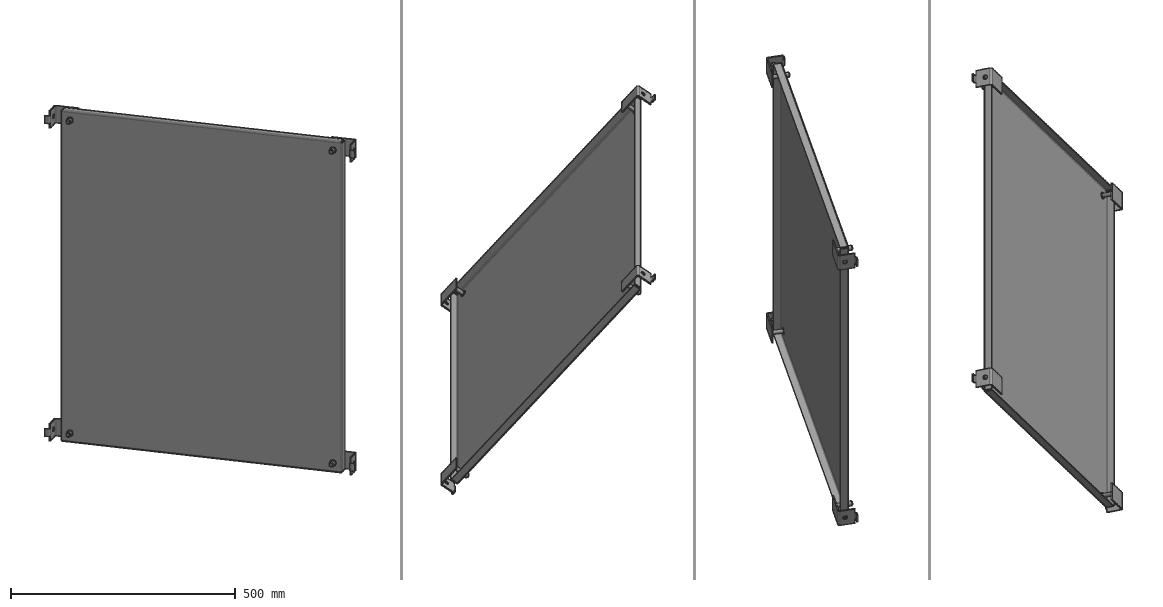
import cadquery as cq

OVERALL_WIDTH = 726.0
OVERALL_DEPTH = 43.0
PLATE_HEIGHT = 784.0

PLATE_WIDTH = 660.0
PLATE_DEPTH = 19.5
PLATE_FRONT_Y = -9.0
PLATE_SHEET = 1.95
PLATE_BEND_RADIUS = 3.0
CLEARANCE_DIAMETER = 15.0

FIXING_X = 308.0
FIXING_Z = 370.0

SHANK_DIAMETER = 9.5
HEAD_DIAMETER = 12.0
HEAD_CHAMFER = 2.0

BRACKET_SHEET = 3.0
BRACKET_BEND_RADIUS = 5.0
BRACKET_HEIGHT = 41.0
TAB_HEIGHT = 18.0
WEB_OUTER_X = 354.0
FLANGE_INNER_X = 296.5
WEB_HOLE_DIAMETER = 10.0
WEB_HOLE_Y = 5.5

BACK_Y = OVERALL_DEPTH / 2
FRONT_Y = -BACK_Y
FLANGE_FRONT_Y = BACK_Y - BRACKET_SHEET
TAB_TIP_X = OVERALL_WIDTH / 2
PLATE_BACK_Y = PLATE_FRONT_Y + PLATE_DEPTH
CORNERS = [(side, level) for side in (-1, 1) for level in (-1, 1)]


def folded_strip(span, length):
    """A flat face with a flange folded back along both long edges, extruded along Z."""
    outer_x = span / 2
    inner_x = outer_x - PLATE_SHEET
    bend_x = outer_x - PLATE_BEND_RADIUS
    bend_y = PLATE_FRONT_Y + PLATE_BEND_RADIUS
    inner_y = PLATE_FRONT_Y + PLATE_SHEET
    return (
        cq.Workplane("XY")
        .moveTo(-outer_x, PLATE_BACK_Y)
        .lineTo(-outer_x, bend_y)
        .tangentArcPoint((-bend_x, PLATE_FRONT_Y), relative=False)
        .lineTo(bend_x, PLATE_FRONT_Y)
        .tangentArcPoint((outer_x, bend_y), relative=False)
        .lineTo(outer_x, PLATE_BACK_Y)
        .lineTo(inner_x, PLATE_BACK_Y)
        .lineTo(inner_x, bend_y)
        .tangentArcPoint((bend_x, inner_y), relative=False)
        .lineTo(-bend_x, inner_y)
        .tangentArcPoint((-inner_x, bend_y), relative=False)
        .lineTo(-inner_x, PLATE_BACK_Y)
        .close()
        .extrude(length / 2, both=True)
    )


def make_plate():
    """Tray with four flanges that stop at the bend lines, leaving a square notch at each corner."""
    side_flanges = folded_strip(PLATE_WIDTH, PLATE_HEIGHT - 2 * PLATE_BEND_RADIUS)
    end_flanges = folded_strip(PLATE_HEIGHT, PLATE_WIDTH - 2 * PLATE_BEND_RADIUS)
    end_flanges = end_flanges.rotate((0, 0, 0), (0, 1, 0), 90)
    stud_holes = (
        cq.Workplane("XZ", origin=(0, BACK_Y, 0))
        .pushPoints([(side * FIXING_X, level * FIXING_Z) for side, level in CORNERS])
        .circle(CLEARANCE_DIAMETER / 2)
        .extrude(OVERALL_DEPTH)
    )
    return side_flanges.union(end_flanges).cut(stud_holes).clean()


def make_stud(side, level):
    """Stud from the bracket flange through the plate face, thicker from the plate sheet outward."""
    step_y = PLATE_FRONT_Y + PLATE_SHEET
    shank = (
        cq.Workplane("XZ", origin=(0, FLANGE_FRONT_Y, 0))
        .circle(SHANK_DIAMETER / 2)
        .extrude(FLANGE_FRONT_Y - step_y)
    )
    head = (
        cq.Workplane("XZ", origin=(0, step_y, 0))
        .circle(HEAD_DIAMETER / 2)
        .extrude(step_y - FRONT_Y)
        .faces("<Y")
        .chamfer(HEAD_CHAMFER)
    )
    return shank.union(head).translate((side * FIXING_X, 0, level * FIXING_Z))


def make_bracket(side, level):
    """Z-bent strip: back flange behind the plate, web beside it, narrow tab pointing outward."""
    web_inner_x = WEB_OUTER_X - BRACKET_SHEET
    back_bend_x = WEB_OUTER_X - BRACKET_BEND_RADIUS
    back_bend_y = BACK_Y - BRACKET_BEND_RADIUS
    tab_bend_x = web_inner_x + BRACKET_BEND_RADIUS
    tab_bend_y = FRONT_Y + BRACKET_BEND_RADIUS
    tab_back_y = FRONT_Y + BRACKET_SHEET
    bracket = (
        cq.Workplane("XY")
        .moveTo(FLANGE_INNER_X, BACK_Y)
        .lineTo(back_bend_x, BACK_Y)
        .tangentArcPoint((WEB_OUTER_X, back_bend_y), relative=False)
        .lineTo(WEB_OUTER_X, tab_bend_y)
        .tangentArcPoint((tab_bend_x, tab_back_y), relative=False)
        .lineTo(TAB_TIP_X, tab_back_y)
        .lineTo(TAB_TIP_X, FRONT_Y)
        .lineTo(tab_bend_x, FRONT_Y)
        .tangentArcPoint((web_inner_x, tab_bend_y), relative=False)
        .lineTo(web_inner_x, back_bend_y)
        .tangentArcPoint((back_bend_x, FLANGE_FRONT_Y), relative=False)
        .lineTo(FLANGE_INNER_X, FLANGE_FRONT_Y)
        .close()
        .extrude(BRACKET_HEIGHT / 2, both=True)
    )

    shoulder_width = TAB_TIP_X - web_inner_x
    shoulder_height = (BRACKET_HEIGHT - TAB_HEIGHT) / 2
    for end in (-1, 1):
        shoulder = (
            cq.Workplane("XY")
            .box(shoulder_width, BRACKET_BEND_RADIUS, shoulder_height, centered=(False, False, True))
            .translate((web_inner_x, FRONT_Y, end * (TAB_HEIGHT + shoulder_height) / 2))
        )
        bracket = bracket.cut(shoulder)

    web_hole = (
        cq.Workplane("YZ", origin=(web_inner_x, WEB_HOLE_Y, 0))
        .circle(WEB_HOLE_DIAMETER / 2)
        .extrude(BRACKET_SHEET)
    )
    bracket = bracket.cut(web_hole)

    if side < 0:
        bracket = bracket.mirror("YZ")
    return bracket.translate((0, 0, level * FIXING_Z))


plate = make_plate()
studs = [make_stud(side, level) for side, level in CORNERS]
brackets = [make_bracket(side, level) for side, level in CORNERS]

result = cq.Compound.makeCompound(
    [
        plate.val(),
        *[stud.val() for stud in studs],
        *[bracket.val() for bracket in brackets],
    ]
)